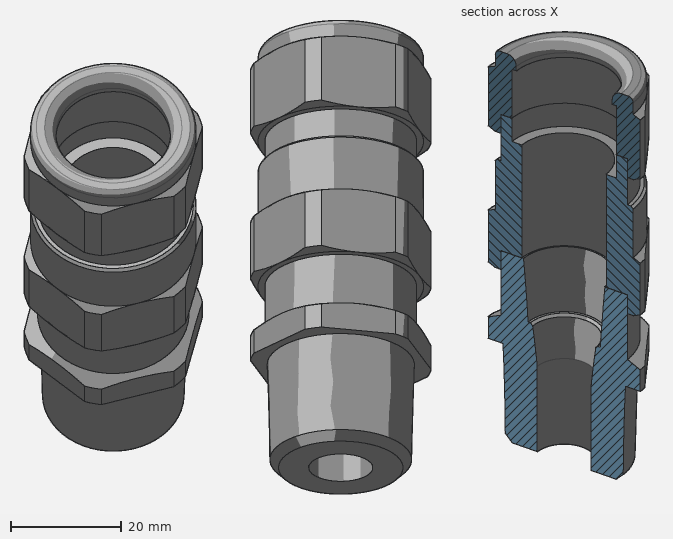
import cadquery as cq
import math


across_flats = 30.0
corner_radius = 16.5
hex_chamfer_angle = 25
barrel_radius = across_flats / 2
neck_radius = 13.8

thread_tip_radius = 12.85
thread_root_radius = 13.35
tip_chamfer = 1.6
entry_hex_bottom = 20.6
entry_hex_top = 26.5
entry_bore_radius = 5.8
entry_cone_radius = 6.8
entry_cone_depth = 8.3
entry_chamfer_radius = 7.3
entry_mouth_floor_radius = 7.8
entry_mouth_radius = 8.8
entry_mouth_depth = 13.3

middle_bottom = 36.2
middle_hex_top = 48.75
middle_barrel_top = 59.6
barrel_chamfer = 0.5
middle_bore_radius = 9.1
recess_depth = 5.0

nut_bottom = 65.3
nut_hex_top = 79.3
nut_top = 82.9
nut_edge_radius = 1.1
lip_radius = 10.4
lip_rounding = 2.1
lip_land = 1.0
nut_bore_radius = 11.3

neck_engagement = 4.15
entry_top = middle_bottom + neck_engagement
middle_top = nut_bottom + neck_engagement


def revolve_profile(profile):
    """Turn a closed (radius, height) outline around the Z axis."""
    return profile.close().revolve(360, (0, 0, 0), (0, 1, 0))


def cylinder(radius, bottom, top):
    return cq.Workplane("XY").workplane(offset=bottom).circle(radius).extrude(top - bottom)


def cone(bottom_radius, top_radius, bottom, top):
    outline = cq.Workplane("XZ").moveTo(0, bottom).lineTo(bottom_radius, bottom)
    return revolve_profile(outline.lineTo(top_radius, top).lineTo(0, top))


def wrench_hex(bottom, top, top_face_radius):
    """Hexagon with flats facing +X and -X, turned corners and a conical chamfer on its top end."""
    slope = math.tan(math.radians(hex_chamfer_angle))
    prism = (
        cq.Workplane("XY")
        .workplane(offset=bottom)
        .polygon(6, across_flats / math.cos(math.radians(30)))
        .extrude(top - bottom)
        .rotate((0, 0, 0), (0, 0, 1), 30)
    )
    chamfer_cone = cone(top_face_radius + (top - bottom) / slope, top_face_radius, bottom, top)
    return prism.intersect(cylinder(corner_radius, bottom, top)).intersect(chamfer_cone)


def double_chamfered_hex(bottom, top):
    """Wrench hexagon chamfered on both ends, with end faces as wide as the barrel."""
    slope = math.tan(math.radians(hex_chamfer_angle))
    chamfer_cone = cone(barrel_radius, barrel_radius + (top - bottom) / slope, bottom, top)
    return wrench_hex(bottom, top, barrel_radius).intersect(chamfer_cone)


def make_entry_body():
    body = cone(thread_tip_radius - tip_chamfer, thread_tip_radius, 0, tip_chamfer)
    body = body.union(cone(thread_tip_radius, thread_root_radius, tip_chamfer, entry_hex_bottom))
    body = body.union(wrench_hex(entry_hex_bottom, entry_hex_top, neck_radius))
    body = body.union(cylinder(neck_radius, entry_hex_top, entry_top))

    mouth_floor = entry_top - entry_mouth_depth
    chamfer_bottom = mouth_floor - (entry_chamfer_radius - entry_cone_radius)
    cone_bottom = chamfer_bottom - entry_cone_depth
    body = body.cut(cone(entry_mouth_floor_radius, entry_mouth_radius, mouth_floor, entry_top))
    body = body.cut(cone(entry_cone_radius, entry_chamfer_radius, chamfer_bottom, mouth_floor))
    body = body.cut(cone(entry_bore_radius, entry_cone_radius, cone_bottom, chamfer_bottom))
    return body.cut(cylinder(entry_bore_radius, 0, cone_bottom))


def make_middle_body():
    barrel = cylinder(barrel_radius, middle_hex_top, middle_barrel_top)
    barrel = barrel.faces(">Z").edges().chamfer(barrel_chamfer)
    body = double_chamfered_hex(middle_bottom, middle_hex_top)
    body = body.union(barrel)
    body = body.union(cylinder(neck_radius, middle_barrel_top, middle_top))

    recess_floor = middle_top - recess_depth
    body = body.cut(cylinder(neck_radius, middle_bottom, entry_top))
    body = body.cut(cylinder(middle_bore_radius, entry_top, recess_floor))
    return body.cut(cylinder(nut_bore_radius, recess_floor, middle_top))


def make_cap_nut():
    collar = cylinder(barrel_radius, nut_hex_top, nut_top)
    collar = collar.faces(">Z").edges().fillet(nut_edge_radius)
    nut = double_chamfered_hex(nut_bottom, nut_hex_top).union(collar)

    bore_top = nut_top - lip_rounding - lip_land
    nut = nut.cut(cylinder(lip_radius, bore_top, nut_top))
    nut = nut.faces(">Z").edges(cq.selectors.RadiusNthSelector(0)).fillet(lip_rounding)
    nut = nut.cut(cylinder(nut_bore_radius, middle_top, bore_top))
    return nut.cut(cylinder(neck_radius, nut_bottom, middle_top))


entry_body = make_entry_body()
middle_body = make_middle_body()
cap_nut = make_cap_nut()

result = cq.Compound.makeCompound([entry_body.val(), middle_body.val(), cap_nut.val()])